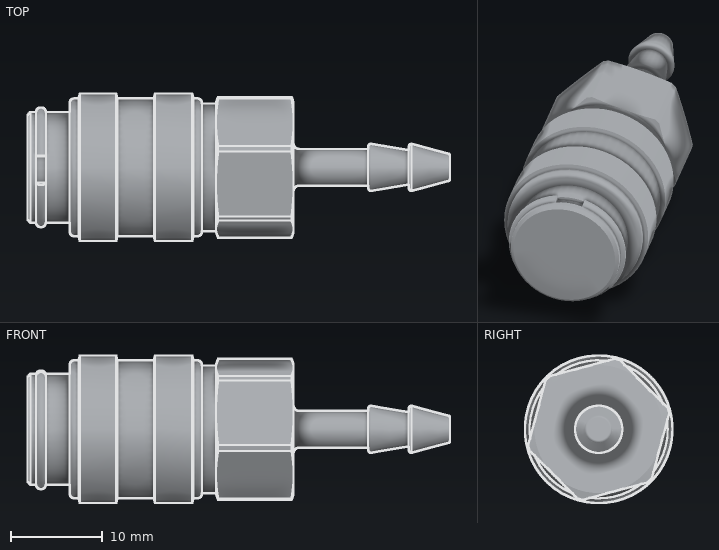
import cadquery as cq
import math


total_length = 46.15
nose_chamfer_length = 0.3
ring_centre_x = 1.48
sleeve_start = 4.6
front_band_start = 5.7
front_band_end = 9.7
rear_band_start = 13.95
rear_band_end = 18.0
sleeve_end = 19.05
hexagon_start = 20.6
hexagon_end = 29.07
rear_barb_start = 37.2
tip_barb_start = 41.65

nose_diameter = 12.15
nose_face_diameter = 11.4
sleeve_diameter = 15.1
band_diameter = 16.15
neck_diameter = 14.0
stem_diameter = 4.05
barb_diameter = 5.15
barb_waist_diameter = 3.8
tip_diameter = 3.05

sleeve_round = 0.5
band_side_slant = 0.15
stem_root_round = 0.55
barb_round = 0.3
tip_round = 0.28

hexagon_across_flats = 14.0
hexagon_corner_diameter = 15.8
hexagon_rotation = 15.0
hexagon_end_slope = 15.0

ring_width = 1.1
groove_diameter = 11.4
ring_crown_diameter = 12.0
ring_gap_upright_y = 1.25
ring_gap_upright_tilt = 9.0
ring_gap_radial_angle = 17.0

AXIS_START = (0, 0, 0)
AXIS_END = (1, 0, 0)


def make_front_part():
    """Nose, grip sleeve with two raised bands, and neck, turned as one shape."""
    nose = nose_diameter / 2
    sleeve = sleeve_diameter / 2
    band = band_diameter / 2
    neck = neck_diameter / 2
    profile = (
        cq.Workplane("XY")
        .moveTo(0, 0)
        .lineTo(0, nose_face_diameter / 2)
        .lineTo(nose_chamfer_length, nose)
        .lineTo(sleeve_start, nose)
        .lineTo(sleeve_start, sleeve - sleeve_round)
        .radiusArc((sleeve_start + sleeve_round, sleeve), sleeve_round)
        .lineTo(front_band_start - band_side_slant, sleeve)
        .lineTo(front_band_start, band)
        .lineTo(front_band_end, band)
        .lineTo(front_band_end + band_side_slant, sleeve)
        .lineTo(rear_band_start - band_side_slant, sleeve)
        .lineTo(rear_band_start, band)
        .lineTo(rear_band_end, band)
        .lineTo(rear_band_end + band_side_slant, sleeve)
        .lineTo(sleeve_end - sleeve_round, sleeve)
        .radiusArc((sleeve_end, sleeve - sleeve_round), sleeve_round)
        .lineTo(sleeve_end, neck)
        .lineTo(hexagon_start, neck)
        .lineTo(hexagon_start, 0)
        .close()
    )
    return profile.revolve(360, AXIS_START, AXIS_END)


def make_hexagon():
    """Hexagon with turned corners and shallow cones on both ends."""
    prism = (
        cq.Workplane("YZ", origin=(hexagon_start, 0, 0))
        .transformed(rotate=(0, 0, hexagon_rotation))
        .polygon(6, hexagon_across_flats / math.cos(math.pi / 6))
        .extrude(hexagon_end - hexagon_start)
    )
    flat = hexagon_across_flats / 2
    corner = hexagon_corner_diameter / 2
    cone_length = (corner - flat) * math.tan(math.radians(hexagon_end_slope))
    envelope = (
        cq.Workplane("XY")
        .moveTo(hexagon_start, 0)
        .lineTo(hexagon_start, flat)
        .lineTo(hexagon_start + cone_length, corner)
        .lineTo(hexagon_end - cone_length, corner)
        .lineTo(hexagon_end, flat)
        .lineTo(hexagon_end, 0)
        .close()
        .revolve(360, AXIS_START, AXIS_END)
    )
    return prism.intersect(envelope)


def make_hose_barb():
    """Stem with a rounded root and two tapered barbs."""
    stem = stem_diameter / 2
    barb = barb_diameter / 2
    waist = barb_waist_diameter / 2
    tip = tip_diameter / 2
    profile = (
        cq.Workplane("XY")
        .moveTo(hexagon_end, 0)
        .lineTo(hexagon_end, stem + stem_root_round)
        .radiusArc((hexagon_end + stem_root_round, stem), -stem_root_round)
        .lineTo(rear_barb_start, stem)
        .lineTo(rear_barb_start, barb - barb_round)
        .radiusArc((rear_barb_start + barb_round, barb), barb_round)
        .lineTo(tip_barb_start, waist)
        .lineTo(tip_barb_start, barb - barb_round)
        .radiusArc((tip_barb_start + barb_round, barb), barb_round)
        .lineTo(total_length - tip_round, tip)
        .radiusArc((total_length, tip - tip_round), tip_round)
        .lineTo(total_length, 0)
        .close()
    )
    return profile.revolve(360, AXIS_START, AXIS_END)


def make_ring_groove():
    """Square-sided annular cut that the snap ring sits in."""
    return (
        cq.Workplane("YZ", origin=(ring_centre_x - ring_width / 2, 0, 0))
        .circle(sleeve_diameter / 2)
        .circle(groove_diameter / 2)
        .extrude(ring_width)
    )


def make_coupling():
    body = make_front_part().union(make_hexagon()).union(make_hose_barb())
    return body.cut(make_ring_groove())


def make_snap_ring():
    """Arch-section ring that fills the groove, open at the top between two cut ends."""
    ring_crown_height = ring_crown_diameter / 2
    half_width = ring_width / 2
    section = (
        cq.Workplane("XY")
        .moveTo(ring_centre_x - half_width, groove_diameter / 2)
        .lineTo(ring_centre_x - half_width, ring_crown_height)
        .threePointArc(
            (ring_centre_x, ring_crown_height + half_width),
            (ring_centre_x + half_width, ring_crown_height),
        )
        .lineTo(ring_centre_x + half_width, groove_diameter / 2)
        .close()
    )
    ring = section.revolve(360, AXIS_START, AXIS_END)
    gap_top = band_diameter / 2
    upright_slope = math.tan(math.radians(ring_gap_upright_tilt))
    radial_slope = math.tan(math.radians(ring_gap_radial_angle))
    gap = (
        cq.Workplane("YZ", origin=(ring_centre_x - ring_width, 0, 0))
        .polyline([
            (0, 0),
            (ring_gap_upright_y - ring_crown_height * upright_slope, 0),
            (ring_gap_upright_y + (gap_top - ring_crown_height) * upright_slope, gap_top),
            (-gap_top * radial_slope, gap_top),
        ])
        .close()
        .extrude(2 * ring_width)
    )
    return ring.cut(gap)


coupling = make_coupling()
snap_ring = make_snap_ring()

result = cq.Compound.makeCompound([coupling.val(), snap_ring.val()])